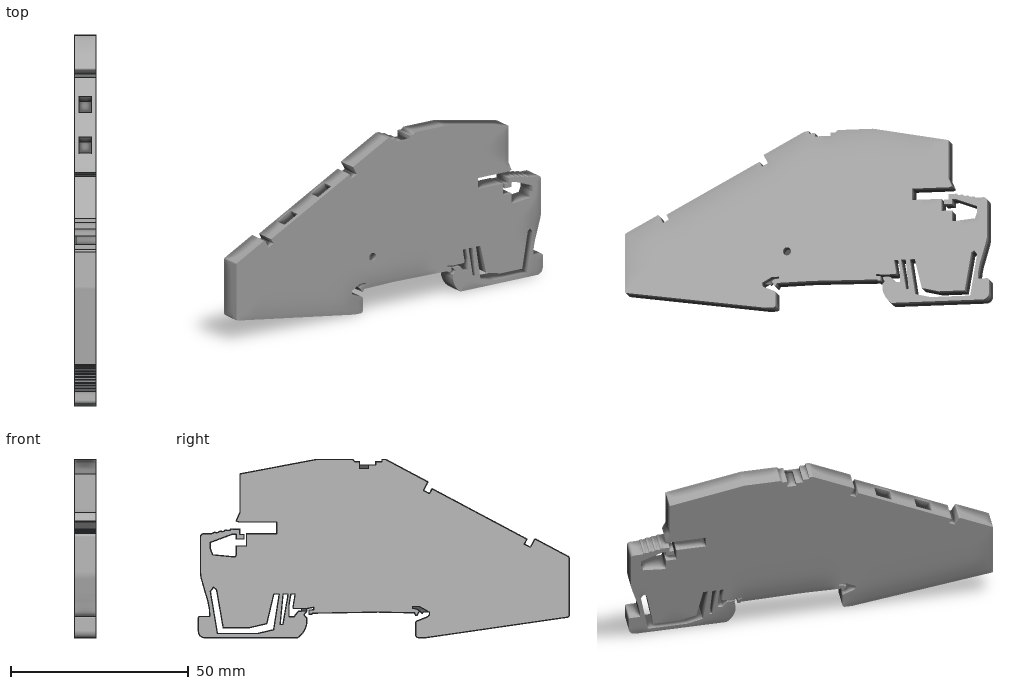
import cadquery as cq
import math

width = 6.1
length = 104.5
height = 50.3
side_plane = cq.Plane(origin=(width / 2, length / 2, 0), xDir=(0, -1, 0), normal=(-1, 0, 0))

rear_low_z = 5.9
rear_high_z = 22.8
ramp_angle = math.radians(28.0)
ramp_end = (height - rear_high_z) / math.tan(ramp_angle)

crown_end = 71.2
brow_front = 92.8
brow_top_z = 46.2
brow_bottom_z = 35.3
lip_front = 93.8
lip_z = 32.9

latch_front = 103.8
latch_top_z = 29.4
knee_z = 17.4
leg_bend = (102.4, 12.3)
leg_bow = (101.5, 9.3)
leg_front = 101.2
foot_step_z = 6.1

hook_start = 40.4
hook_end = 43.3
hook_tip_z = 4.6

small_radius = 0.5
toe_radius = 1.9
hook_radius = 0.8
notch_radius = 0.4
shoulder_radius = 0.9
knee_radius = 6.3
crown_radius = 3.1

marker_notch_starts = (11.0, 43.1)
marker_notch_length = 1.9
marker_notch_depth = 2.7
land_depth = 1.1
pocket_starts = (19.0, 32.0)
pocket_length = 5.0
pocket_width = 3.4
pocket_depth = 2.9
cutter_overshoot = 1.0

groove_start = 52.8
groove_end = 61.0
groove_shoulder_depth = 0.6
groove_floor_start = 54.5
groove_floor_end = 59.0
groove_depth = 1.6
opening_start = 56.5
opening_depth = 0.9
cover_thickness = 0.4

label_slot_start = 82.4
label_slot_top_z = 32.6
label_slot_bevel = 0.7

catch_start = 91.5
catch_top_z = 29.1
catch_bottom_z = 27.8
arm_top_z = 30.6
arm_underside_start = 94.9
ledge_start = 90.9
ledge_z = 25.9
window_start = 93.8
window_low_z = 22.8
window_front_low = (100.4, 23.4)
window_front = 101.0
window_front_z = 25.1
window_high_z = 26.8

slope_start = 94.2
slope_end = 100.7
rib_count = 4
rib_base = 0.9
rib_crest = 0.5
rib_height = 0.2

undercut_start = 39.4
undercut_low_z = 6.5
undercut_high_z = 7.2
hook_root = (39.9, 6.0)
pocket_peak = (42.1, 8.8)
pocket_end = 44.2
pocket_end_z = 8.3
tooth_back = (43.0, 8.1)
tooth_top = (42.1, 7.5)
tooth_z = 6.3
tooth_start = 42.9
tooth_root = (43.6, 7.0)

seat_middle = (53.8, 7.2)
barb_start = 72.4
barb_end = 73.3
barb_root_z = 6.9
barb_z = 6.6
barb_top_z = 7.8
gap_start = 72.0
gap_low_z = 7.9
gap_high_z = 8.6
gap_narrow = 73.7
gap_top_z = 8.3

nose_tip = 73.9
nose_top_z = 7.5
nose_flat_end = 76.3
nose_dent = (74.7, 6.5)
nose_high_z = 5.5
nose_low_z = 4.2
nose_bow = (74.7, 1.9)
nose_start = 76.5

slot_top_z = 12.3
relief_start = 77.2
relief_end = 78.4
relief_corner = (77.8, 8.6)
relief_corner_end = 77.6
relief_front = 78.9
relief_bend_z = 9.3
relief_low_start = 77.5
relief_low_z = 6.0
straight_slot_top = (79.2, 80.5)
straight_slot_bottom = (80.7, 81.4)
straight_slot_low_z = 3.8
u_slot_rear_top = (81.7, 83.2)
u_slot_rear_outer = (83.3, 2.3)
u_slot_rear_inner = (85.1, 4.0)
u_slot_outer_floor = (87.8, 99.0)
u_slot_outer_floor_z = 1.3
u_slot_inner_floor = (90.1, 97.5)
u_slot_inner_floor_z = 2.8
u_slot_front_top = [(101.0, 13.1), (100.2, 14.2), (99.4, 13.6)]

test_hole_place = (46.5, 16.0)
test_hole_radius = 1.1
test_hole_depth = 3.1

contact_thickness = 1.0
hook_contact_tip = (41.4, 6.8)
hook_contact_edge = 41.2
nose_contact_end = 75.4


def side_profile(points):
    """Closed polygon drawn on the side plane."""
    return cq.Workplane(side_plane).polyline(points).close()


def through_cut(points):
    """Cutter that runs through the full width."""
    return side_profile(points).extrude(width)


def middle_plate(points, thickness):
    """Plate centred in the width."""
    return side_profile(points).extrude(thickness).translate(((thickness - width) / 2, 0, 0))


def ramp_point(along, depth):
    """Point a distance along the rear ramp and a depth below it."""
    return (
        along * math.cos(ramp_angle) + depth * math.sin(ramp_angle),
        rear_high_z + along * math.sin(ramp_angle) - depth * math.cos(ramp_angle),
    )


def ramp_box(start, end, depth):
    """Corners of a rectangle sunk square into the ramp, standing proud so that it cuts cleanly."""
    return [
        ramp_point(start, -cutter_overshoot),
        ramp_point(end, -cutter_overshoot),
        ramp_point(end, depth),
        ramp_point(start, depth),
    ]


def round_corner(body, place, radius):
    """Round the edge that runs across the width at a place on the side profile."""
    y = length / 2 - place[0]
    z = place[1]
    reach = 0.1
    box = cq.selectors.BoxSelector((-width, y - reach, z - reach), (width, y + reach, z + reach))
    return body.edges(box).fillet(radius)


def blank():
    """Full-width plate with the outer profile, before the notches and slots."""
    profile = (
        cq.Workplane(side_plane)
        .moveTo(0, rear_low_z)
        .lineTo(0, rear_high_z)
        .lineTo(ramp_end, height)
        .lineTo(crown_end, height)
        .lineTo(brow_front, brow_top_z)
        .lineTo(brow_front, brow_bottom_z)
        .lineTo(lip_front, lip_z)
        .lineTo(brow_front, arm_top_z)
        .lineTo(slope_start, arm_top_z)
        .lineTo(slope_end, latch_top_z)
        .lineTo(latch_front, latch_top_z)
        .lineTo(latch_front, knee_z)
        .lineTo(*leg_bend)
        .threePointArc(leg_bow, (leg_front, foot_step_z))
        .lineTo(length, foot_step_z)
        .lineTo(length, 0)
        .lineTo(hook_start, 0)
        .close()
    )
    body = profile.extrude(width)
    body = round_corner(body, (0, rear_low_z), small_radius)
    body = round_corner(body, (0, rear_high_z), small_radius)
    body = round_corner(body, (crown_end, height), crown_radius)
    body = round_corner(body, (latch_front, latch_top_z), shoulder_radius)
    body = round_corner(body, (latch_front, knee_z), knee_radius)
    body = round_corner(body, (length, foot_step_z), small_radius)
    return round_corner(body, (length, 0), toe_radius)


def grip_ribs():
    """Small ribs, evenly spaced down the sloping top of the latch arm."""
    run = slope_end - slope_start
    drop = arm_top_z - latch_top_z
    pitch = math.hypot(run, drop) / rib_count
    tilt = -math.degrees(math.atan2(drop, run))
    slope_plane = cq.Workplane(side_plane).center(slope_start, arm_top_z).transformed(rotate=(0, 0, tilt))
    ribs = []
    for index in range(rib_count):
        middle = pitch * (index + 0.5)
        corners = [
            (middle - rib_base / 2, 0),
            (middle - rib_crest / 2, rib_height),
            (middle + rib_crest / 2, rib_height),
            (middle + rib_base / 2, 0),
        ]
        ribs.append(slope_plane.polyline(corners).close().extrude(width))
    return ribs


def ramp_cuts():
    """Marker notches, the sunk land between them and the wire pockets in the land."""
    first, last = marker_notch_starts
    cuts = through_cut(ramp_box(first, last + marker_notch_length, land_depth))
    for start in marker_notch_starts:
        cuts = cuts.union(through_cut(ramp_box(start, start + marker_notch_length, marker_notch_depth)))
    for start in pocket_starts:
        corners = ramp_box(start, start + pocket_length, land_depth + pocket_depth)
        cuts = cuts.union(middle_plate(corners, pocket_width))
    return cuts


def opening_corners():
    """Rectangle of the opening in the groove floor."""
    top_z = height - groove_depth
    bottom_z = top_z - opening_depth
    return [
        (opening_start, top_z),
        (groove_floor_end, top_z),
        (groove_floor_end, bottom_z),
        (opening_start, bottom_z),
    ]


def crown_groove():
    """Stepped groove across the crown, with a deeper opening in its floor."""
    shoulder_z = height - groove_shoulder_depth
    floor_z = height - groove_depth
    groove = through_cut(
        [
            (groove_start, height),
            (groove_start, shoulder_z),
            (groove_floor_start, shoulder_z),
            (groove_floor_start, floor_z),
            (groove_floor_end, floor_z),
            (groove_floor_end, shoulder_z),
            (groove_end - groove_shoulder_depth, shoulder_z),
            (groove_end, height),
        ]
    )
    return groove.union(through_cut(opening_corners()))


def latch_gap():
    """Slot under the brow that runs on around the catch and into the window below the latch arm."""
    return through_cut(
        [
            (lip_front, lip_z),
            (lip_front - label_slot_bevel, label_slot_top_z),
            (label_slot_start, label_slot_top_z),
            (label_slot_start, latch_top_z),
            (ledge_start, latch_top_z),
            (ledge_start, ledge_z),
            (window_start, ledge_z),
            (window_start, window_low_z),
            window_front_low,
            (window_front, window_front_z),
            (window_front, window_high_z),
            (arm_underside_start, catch_top_z),
            (window_start, catch_top_z),
            (window_start, catch_bottom_z),
            (catch_start, catch_bottom_z),
            (catch_start, catch_top_z),
            (brow_front, catch_top_z),
            (brow_front, arm_top_z),
        ]
    )


def rail_recess():
    """Recess for the mounting rail, with its undercuts behind the hook and above the nose."""
    outline = [
        (hook_end, 0),
        (hook_end, hook_tip_z),
        hook_root,
        (undercut_start, undercut_low_z),
        (undercut_start, undercut_high_z),
        pocket_peak,
        (pocket_end, pocket_peak[1]),
        (pocket_end, pocket_end_z),
        tooth_back,
        tooth_top,
        (tooth_start, tooth_z),
        (hook_end, tooth_z),
        tooth_root,
        seat_middle,
        (barb_start, barb_root_z),
        (barb_start, barb_z),
        (barb_end, barb_z),
        (barb_end, barb_top_z),
        (gap_start, gap_low_z),
        (gap_start, gap_high_z),
        (gap_narrow, gap_top_z),
        (relief_corner_end, gap_top_z),
        relief_corner,
        (relief_start, slot_top_z),
        (relief_end, slot_top_z),
        (relief_front, relief_bend_z),
        (relief_front, relief_low_z),
        (relief_low_start, relief_low_z),
        (nose_flat_end, nose_top_z),
        (nose_tip, nose_top_z),
        nose_dent,
        (nose_tip, nose_high_z),
        (nose_tip, nose_low_z),
    ]
    profile = cq.Workplane(side_plane).polyline(outline).threePointArc(nose_bow, (nose_start, 0)).close()
    return profile.extrude(width)


def foot_slots():
    """Straight slot and U-shaped slot that make the foot springy."""
    straight = through_cut(
        [
            (straight_slot_top[0], slot_top_z),
            (straight_slot_top[1], slot_top_z),
            (straight_slot_bottom[1], straight_slot_low_z),
            (straight_slot_bottom[0], straight_slot_low_z),
        ]
    )
    u_shaped = through_cut(
        [
            (u_slot_rear_top[0], slot_top_z),
            u_slot_rear_outer,
            (u_slot_outer_floor[0], u_slot_outer_floor_z),
            (u_slot_outer_floor[1], u_slot_outer_floor_z),
            *u_slot_front_top,
            (u_slot_inner_floor[1], u_slot_inner_floor_z),
            (u_slot_inner_floor[0], u_slot_inner_floor_z),
            u_slot_rear_inner,
            (u_slot_rear_top[1], slot_top_z),
        ]
    )
    return straight.union(u_shaped)


def test_hole():
    """Blind round hole from the -X side."""
    return (
        cq.Workplane(side_plane)
        .workplane(offset=width - test_hole_depth)
        .center(*test_hole_place)
        .circle(test_hole_radius)
        .extrude(test_hole_depth)
    )


def make_housing():
    """Plastic housing of the terminal block."""
    body = blank()
    for rib in grip_ribs():
        body = body.union(rib)
    for cutter in (ramp_cuts(), crown_groove(), latch_gap(), rail_recess(), foot_slots(), test_hole()):
        body = body.cut(cutter)
    body = round_corner(body, (window_start, window_low_z), small_radius)
    body = round_corner(body, (hook_end, 0), hook_radius)
    body = round_corner(body, ramp_point(marker_notch_starts[0], 0), notch_radius)
    return round_corner(body, (hook_end, hook_tip_z), small_radius)


def make_opening_cover():
    """Thin cover that closes the groove opening on the -X side."""
    cover = side_profile(opening_corners()).extrude(cover_thickness)
    return cover.translate((cover_thickness - width, 0, 0))


def make_hook_contact():
    """Metal strip in the undercut behind the rail hook."""
    points = [
        (undercut_start, undercut_high_z),
        pocket_peak,
        (pocket_end, pocket_peak[1]),
        (pocket_end, pocket_end_z),
        tooth_back,
        tooth_top,
        hook_contact_tip,
        (hook_contact_edge, undercut_high_z),
    ]
    return middle_plate(points, contact_thickness)


def make_nose_contact():
    """Metal strip between the nose of the foot and the housing above it."""
    points = [
        (nose_tip, nose_top_z),
        (nose_contact_end, nose_top_z),
        (nose_contact_end, gap_top_z),
        (nose_tip, gap_top_z),
    ]
    return middle_plate(points, contact_thickness)


housing = make_housing()
opening_cover = make_opening_cover()
hook_contact = make_hook_contact()
nose_contact = make_nose_contact()
result = cq.Compound.makeCompound(
    [housing.solids().val(), opening_cover.val(), hook_contact.val(), nose_contact.val()]
)